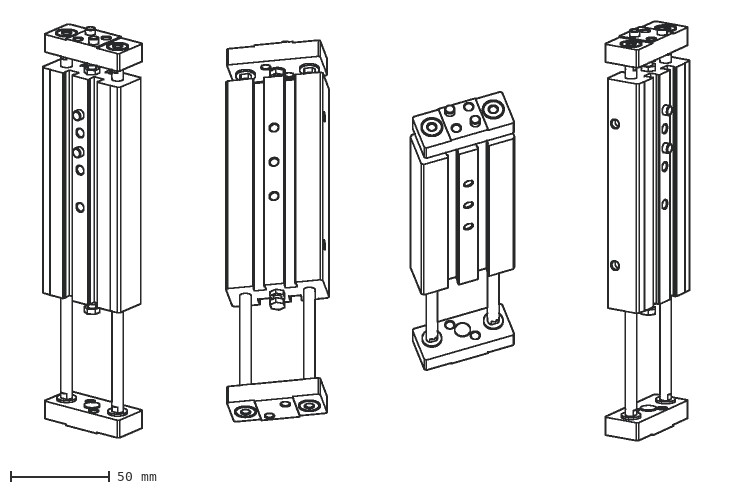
import cadquery as cq
import math

TOTAL_HEIGHT = 210.5
ROD_OFFSET = 16.5
ROD_DIA = 6.0

PLATE_WIDTH = 48.0
PLATE_BACK = 11.2
PLATE_FRONT = 8.8
PLATE_THICKNESS = 9.5
PLATE_EDGE_CHAMFER = 0.8
RAISED_WIDTH = 19.8
RAISED_HEIGHT = 0.6
BUMPER_DIA = 8.0
BUMPER_HEIGHT = 0.6

FLANGE_DIA = 10.0
FLANGE_HEIGHT = 1.0
FLAT_DISTANCE = 2.3
FLAT_LENGTH = 3.0
RING_OUTER_DIA = 11.0
RING_INNER_DIA = 10.0
RING_DEPTH = 0.5
DIMPLE_DIA = 5.0
DIMPLE_FLOOR_DIA = 4.0
DIMPLE_DEPTH = 0.5

PIN_DIA = 5.0
PIN_PROJECTION = 3.0
PIN_DEPTH = 4.2
PIN_CHAMFER = 0.5
THREAD_DIA = 4.2
COUNTERSINK_DIA = 5.0
PATTERN_HALF = 5.0

HOUSING_WIDTH = 50.0
HOUSING_BACK = 9.3
HOUSING_FRONT = 10.0
HOUSING_BOTTOM = 68.2
HOUSING_TOP = 189.3
CORNER_CHAMFER_X = 1.0
CORNER_CHAMFER_Y = 1.5
LAND_HALF_WIDTH = 19.4
LAND_HEIGHT = 0.2

SLOT_CENTER = 8.0
SLOT_MOUTH = 5.3
SLOT_WIDTH = 6.1
SLOT_FLOOR = 4.5
SLOT_LIP = 1.7
SLOT_CHAMFER = 0.5

HOLE_ROW_LENGTH = 50.0
HOLE_ROW_PITCHES = 5
TOP_HOLE_DROP = 19.8
PORT_Y = 4.2
PORT_HEIGHTS = (91.5, 166.2)
PORT_CONE_ANGLE = 30
PORT_DEPTH = 3.4

HEX_FLATS = 7.0
SCREW_DIA = 4.2
NUT_HEIGHT = 2.3
SCREW_HEAD_HEIGHT = 2.7
SCREW_DEPTH = 8.5

HEX_CORNERS = HEX_FLATS / math.cos(math.pi / 6)
COUNTERSINK_DEPTH = (COUNTERSINK_DIA - THREAD_DIA) / 2
FRAME_TOP = TOTAL_HEIGHT - PIN_PROJECTION
PLATE_TOTAL = PLATE_THICKNESS + RAISED_HEIGHT
GAP_AT_TOP = FRAME_TOP - PLATE_TOTAL - BUMPER_HEIGHT - HOUSING_TOP
HOLE_PITCH = HOLE_ROW_LENGTH / HOLE_ROW_PITCHES
HOUSING_HEIGHT = HOUSING_TOP - HOUSING_BOTTOM
TOP_HOLE_Z = HOUSING_TOP - TOP_HOLE_DROP
FRONT_PIN_HEIGHTS = (TOP_HOLE_Z, TOP_HOLE_Z - 2 * HOLE_PITCH)
THROUGH_HOLE_HEIGHTS = tuple(TOP_HOLE_Z - n * HOLE_PITCH for n in (1, 3, HOLE_ROW_PITCHES))
TOP_PIN_PLACES = ((-PATTERN_HALF, PATTERN_HALF), (PATTERN_HALF, -PATTERN_HALF))
TOP_HOLE_PLACES = ((-PATTERN_HALF, -PATTERN_HALF), (PATTERN_HALF, PATTERN_HALF))
LOWER_HOLE_PLACES = TOP_PIN_PLACES
ROD_PLACES = ((-ROD_OFFSET, 0), (ROD_OFFSET, 0))


def cylinder(diameter, height, x=0.0, y=0.0, z=0.0):
    """Upright cylinder standing on height z."""
    return cq.Workplane("XY", origin=(x, y, z)).circle(diameter / 2).extrude(height)


def cone(top_dia, floor_dia, depth):
    """Truncated cone on the Z axis, from z = 0 down to its smaller end."""
    solid = cq.Solid.makeCone(floor_dia / 2, top_dia / 2, depth, cq.Vector(0, 0, -depth))
    return cq.Workplane(obj=solid)


def threaded_hole(length):
    """Cutter along Z from z = 0 down to -length, countersunk at both ends."""
    countersink = cone(COUNTERSINK_DIA, THREAD_DIA, COUNTERSINK_DEPTH)
    far_countersink = flip(countersink).translate((0, 0, -length))
    return cylinder(THREAD_DIA, length, z=-length).union(countersink).union(far_countersink)


def upright_hexagon(corner_dia, height, z):
    """Hexagonal prism on the Z axis with corners on the Y axis."""
    prism = cq.Workplane("XY", origin=(0, 0, z)).polygon(6, corner_dia).extrude(height)
    return prism.rotate((0, 0, 0), (0, 0, 1), 90)


def flip(body):
    """Mirror a body in the XY plane, so that it is upside down."""
    return body.mirror("XY")


def end_plate():
    """Upper end plate with its inner face at z = 0 and its outer face upwards."""
    depth = PLATE_BACK + PLATE_FRONT
    center_y = (PLATE_BACK - PLATE_FRONT) / 2
    plate = cq.Workplane("XY").center(0, center_y).rect(PLATE_WIDTH, depth).extrude(PLATE_THICKNESS)
    plate = plate.edges("|Z").chamfer(PLATE_EDGE_CHAMFER)
    raised = (
        cq.Workplane("XY", origin=(0, center_y, PLATE_THICKNESS))
        .rect(RAISED_WIDTH, depth)
        .extrude(RAISED_HEIGHT)
    )
    plate = plate.union(raised).union(cylinder(BUMPER_DIA, BUMPER_HEIGHT, z=-BUMPER_HEIGHT))
    for x, y in ROD_PLACES:
        plate = plate.union(cylinder(FLANGE_DIA, FLANGE_HEIGHT, x, y, -FLANGE_HEIGHT))
        ring_floor = PLATE_THICKNESS - RING_DEPTH
        rod_head = cylinder(RING_INNER_DIA, RING_DEPTH, x, y, ring_floor)
        ring = cylinder(RING_OUTER_DIA, RING_DEPTH, x, y, ring_floor).cut(rod_head)
        dimple = cone(DIMPLE_DIA, DIMPLE_FLOOR_DIA, DIMPLE_DEPTH).translate((x, y, PLATE_THICKNESS))
        plate = plate.cut(ring).cut(dimple)
    return plate


def frame_rod(x, y, bottom, top):
    """Rod with a pair of wrench flats beside each end flange."""
    rod = cylinder(ROD_DIA, top - bottom, x, y, bottom)
    flat_cut_depth = ROD_DIA / 2
    for low_z in (bottom + FLANGE_HEIGHT, top - FLANGE_HEIGHT - FLAT_LENGTH):
        for side in (-1, 1):
            cut_y = y + side * (FLAT_DISTANCE + flat_cut_depth / 2)
            rod = rod.cut(
                cq.Workplane("XY", origin=(x, cut_y, low_z))
                .rect(ROD_DIA, flat_cut_depth)
                .extrude(FLAT_LENGTH)
            )
    return rod


def moving_frame():
    lower_inner_z = PLATE_TOTAL
    upper_inner_z = FRAME_TOP - PLATE_TOTAL
    upper = end_plate().translate((0, 0, upper_inner_z))
    lower = flip(end_plate()).translate((0, 0, lower_inner_z))
    for x, y in TOP_HOLE_PLACES:
        upper = upper.cut(threaded_hole(PLATE_TOTAL).translate((x, y, FRAME_TOP)))
    for x, y in TOP_PIN_PLACES:
        upper = upper.cut(cylinder(PIN_DIA, PIN_DEPTH, x, y, FRAME_TOP - PIN_DEPTH))
    for x, y in LOWER_HOLE_PLACES:
        lower = lower.cut(threaded_hole(PLATE_TOTAL).translate((x, y, lower_inner_z)))
    frame = upper.union(lower)
    for x, y in ROD_PLACES:
        frame = frame.union(frame_rod(x, y, lower_inner_z, upper_inner_z))
    return frame


def housing_block():
    """Extruded profile with chamfered corners and slightly raised front lands."""
    half = HOUSING_WIDTH / 2
    shoulder_y = LAND_HEIGHT - HOUSING_FRONT
    right_side = [
        (LAND_HALF_WIDTH, -HOUSING_FRONT),
        (LAND_HALF_WIDTH, shoulder_y),
        (half - CORNER_CHAMFER_X, shoulder_y),
        (half, CORNER_CHAMFER_Y - HOUSING_FRONT),
        (half, HOUSING_BACK - CORNER_CHAMFER_X),
        (half - CORNER_CHAMFER_X, HOUSING_BACK),
    ]
    left_side = [(-x, y) for x, y in reversed(right_side)]
    return (
        cq.Workplane("XY", origin=(0, 0, HOUSING_BOTTOM))
        .polyline(right_side + left_side)
        .close()
        .extrude(HOUSING_HEIGHT)
    )


def slot_cut(center_x, side, face):
    """T-slot along the housing, opening towards side * Y at the given face distance."""
    half_mouth = SLOT_MOUTH / 2
    half_width = SLOT_WIDTH / 2
    neck = face - SLOT_LIP
    bevelled_half = half_mouth + SLOT_CHAMFER
    outline = [
        (-bevelled_half, face),
        (-half_mouth, face - SLOT_CHAMFER),
        (-half_mouth, neck),
        (-half_width, neck),
        (-half_width, SLOT_FLOOR),
        (half_width, SLOT_FLOOR),
        (half_width, neck),
        (half_mouth, neck),
        (half_mouth, face - SLOT_CHAMFER),
        (bevelled_half, face),
    ]
    points = [(center_x + x, side * y) for x, y in outline]
    return (
        cq.Workplane("XY", origin=(0, 0, HOUSING_BOTTOM))
        .polyline(points)
        .close()
        .extrude(HOUSING_HEIGHT)
    )


def place_on_front(body, z):
    """Turn a body built along Z so that its +Z end points out of the front face."""
    return body.rotate((0, 0, 0), (1, 0, 0), 90).translate((0, -HOUSING_FRONT, z))


def port(z):
    """Air port drilled from the -X side, with a conical bottom."""
    radius = THREAD_DIA / 2
    tip = PORT_DEPTH + radius * math.tan(math.radians(PORT_CONE_ANGLE))
    profile = [
        (0, 0),
        (0, COUNTERSINK_DIA / 2),
        (COUNTERSINK_DEPTH, radius),
        (PORT_DEPTH, radius),
        (tip, 0),
    ]
    return (
        cq.Workplane("XY")
        .polyline(profile)
        .close()
        .revolve(360, (0, 0), (1, 0))
        .translate((-HOUSING_WIDTH / 2, PORT_Y, z))
    )


def cylinder_housing():
    housing = housing_block()
    for center_x in (-SLOT_CENTER, SLOT_CENTER):
        housing = housing.cut(slot_cut(center_x, -1, HOUSING_FRONT))
        housing = housing.cut(slot_cut(center_x, 1, HOUSING_BACK))
    for x, y in ROD_PLACES:
        housing = housing.cut(cylinder(ROD_DIA, HOUSING_HEIGHT, x, y, HOUSING_BOTTOM))
    for z in THROUGH_HOLE_HEIGHTS:
        housing = housing.cut(place_on_front(threaded_hole(HOUSING_FRONT + HOUSING_BACK), z))
    for z in FRONT_PIN_HEIGHTS:
        housing = housing.cut(place_on_front(cylinder(PIN_DIA, PIN_DEPTH, z=-PIN_DEPTH), z))
    for z in PORT_HEIGHTS:
        housing = housing.cut(port(z))
    for z in (HOUSING_BOTTOM, HOUSING_TOP - SCREW_DEPTH):
        housing = housing.cut(cylinder(SCREW_DIA, SCREW_DEPTH, z=z))
    return housing


def pin():
    """Pin along Z whose projecting end starts at z = 0."""
    body = cylinder(PIN_DIA, PIN_DEPTH + PIN_PROJECTION, z=-PIN_DEPTH)
    return body.faces(">Z").chamfer(PIN_CHAMFER)


def lock_nut():
    """Nut resting on z = 0."""
    return upright_hexagon(HEX_CORNERS, NUT_HEIGHT, 0).cut(cylinder(SCREW_DIA, NUT_HEIGHT))


def stop_screw():
    """Screw entering the housing below z = 0, with its hexagon head at the top."""
    head_z = GAP_AT_TOP - SCREW_HEAD_HEIGHT
    shank = cylinder(SCREW_DIA, head_z + SCREW_DEPTH, z=-SCREW_DEPTH)
    return shank.union(upright_hexagon(HEX_CORNERS, SCREW_HEAD_HEIGHT, head_z))


frame = moving_frame()
housing = cylinder_housing()
plate_pins = [pin().translate((x, y, FRAME_TOP)) for x, y in TOP_PIN_PLACES]
housing_pins = [place_on_front(pin(), z) for z in FRONT_PIN_HEIGHTS]
lock_nuts = [
    lock_nut().translate((0, 0, HOUSING_TOP)),
    flip(lock_nut()).translate((0, 0, HOUSING_BOTTOM)),
]
stop_screws = [
    stop_screw().translate((0, 0, HOUSING_TOP)),
    flip(stop_screw()).translate((0, 0, HOUSING_BOTTOM)),
]

result = cq.Compound.makeCompound(
    [frame.val(), housing.val()]
    + [body.val() for body in plate_pins + housing_pins + lock_nuts + stop_screws]
)